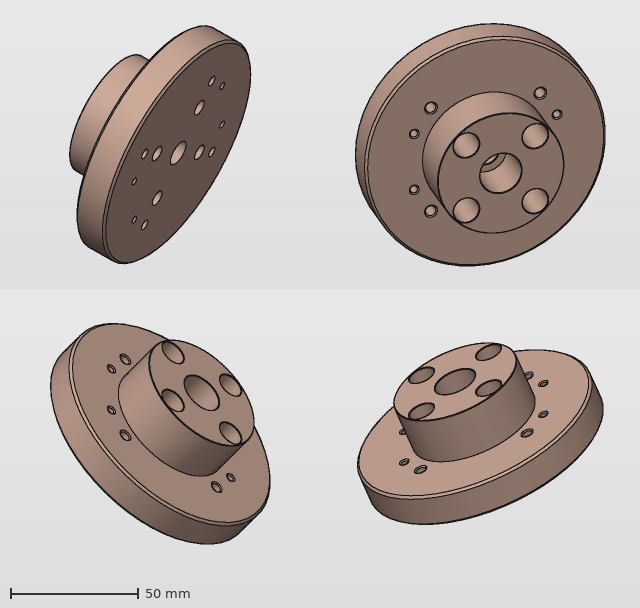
import cadquery as cq
import math

flange_diameter = 99.0
flange_thickness = 14.0
flange_chamfer = 1.0

hub_diameter = 51.92
hub_height = 20.0

edge_break = 0.25

centre_bore_diameter = 10.5
centre_counterbore_diameter = 17.0

bolt_circle_diameter = 40.0
bolt_hole_diameter = 6.5
bolt_counterbore_diameter = 10.5
bolt_angles = [45, 135, 225, 315]

counterbore_depth = hub_height

flange_hole_circle_diameter = 63.5
large_flange_hole_diameter = 4.25
small_flange_hole_diameter = 3.05
flange_hole_chamfer = 0.5
large_flange_hole_angles = [45, 135, 225, 315]
small_flange_hole_angles = [22.5, 157.5, 202.5, 337.5]

front_face_x = 0.0
hub_face_x = front_face_x - hub_height
back_face_x = front_face_x + flange_thickness


def cylinder(diameter, start_x, length, y=0.0, z=0.0):
    """Cylinder along +X from start_x, centred on (y, z)."""
    return cq.Workplane("YZ", origin=(start_x, y, z)).circle(diameter / 2).extrude(length)


def chamfer_cone(diameter, face_x, chamfer, y, z):
    """45 degree cone that chamfers the -X mouth of a hole at face_x."""
    mouth_radius = diameter / 2 + chamfer
    cone = cq.Solid.makeCone(
        mouth_radius, diameter / 2, chamfer, cq.Vector(face_x, y, z), cq.Vector(1, 0, 0)
    )
    return cq.Workplane(cone)


def circle_positions(circle_diameter, angles):
    """Points (y, z) on a circle about the part axis."""
    radius = circle_diameter / 2
    return [
        (radius * math.cos(math.radians(angle)), radius * math.sin(math.radians(angle)))
        for angle in angles
    ]


def chamfered_hole(diameter, face_x, chamfer, y, z):
    """Cutter from face_x through the back face, chamfered at face_x."""
    bore = cylinder(diameter, face_x, back_face_x - face_x, y, z)
    return bore.union(chamfer_cone(diameter, face_x, chamfer, y, z))


def counterbored_hole(diameter, counterbore_diameter, y, z):
    """Cutter through hub and flange with a counterbore from the hub face; both edges broken."""
    step_x = hub_face_x + counterbore_depth
    counterbore = cylinder(counterbore_diameter, hub_face_x, counterbore_depth, y, z)
    mouth = chamfer_cone(counterbore_diameter, hub_face_x, edge_break, y, z)
    bore = chamfered_hole(diameter, step_x, edge_break, y, z)
    return counterbore.union(mouth).union(bore)


def body():
    """Chamfered flange disc with the hub on its front face."""
    flange = cylinder(flange_diameter, front_face_x, flange_thickness)
    flange = flange.edges().chamfer(flange_chamfer)
    hub = cylinder(hub_diameter, hub_face_x, hub_height)
    hub = hub.faces("<X").edges().chamfer(edge_break)
    return flange.union(hub)


result = body()

result = result.cut(counterbored_hole(centre_bore_diameter, centre_counterbore_diameter, 0, 0))

for y, z in circle_positions(bolt_circle_diameter, bolt_angles):
    result = result.cut(counterbored_hole(bolt_hole_diameter, bolt_counterbore_diameter, y, z))

for hole_diameter, hole_angles in (
    (large_flange_hole_diameter, large_flange_hole_angles),
    (small_flange_hole_diameter, small_flange_hole_angles),
):
    for y, z in circle_positions(flange_hole_circle_diameter, hole_angles):
        result = result.cut(chamfered_hole(hole_diameter, front_face_x, flange_hole_chamfer, y, z))